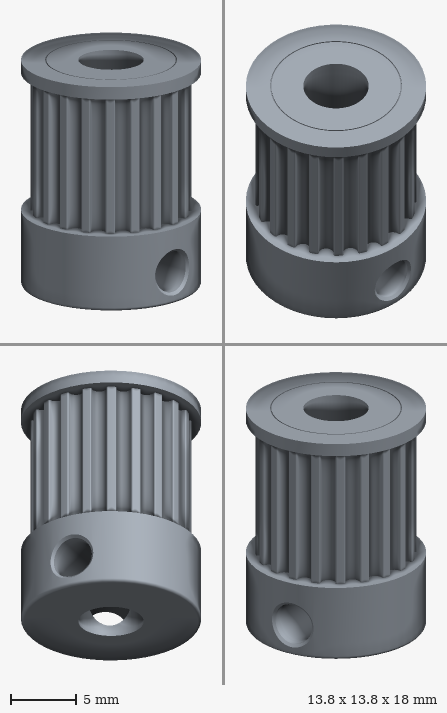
import cadquery as cq
import math

total_height = 18.0
hub_height = 6.0
flange_thickness = 1.0
rim_diameter = 13.8
bore_diameter = 5.0
hub_bottom_fillet = 0.25

tooth_count = 20
tooth_tip_diameter = 12.33
groove_depth = 0.77
groove_radius = 0.58
tooth_tip_fillet = 0.117

ring_inner_diameter = 9.9
ring_outer_diameter = 10.1
ring_depth = 0.09

screw_diameter = 3.24
screw_chamfer = 0.22
screw_height = 2.5
screw_angles = (0, 210)

rim_radius = rim_diameter / 2
tip_radius = tooth_tip_diameter / 2
flange_bottom = total_height - flange_thickness
toothed_length = flange_bottom - hub_height


def make_hub():
    hub = cq.Workplane("XY").circle(rim_radius).extrude(hub_height)
    return hub.faces("<Z").edges().fillet(hub_bottom_fillet)


def make_groove(angle):
    """Round-bottomed groove, parallel to Z, open past the tooth tips."""
    bottom = tip_radius - groove_depth
    wall_start = bottom + groove_radius
    return (
        cq.Workplane("XY", origin=(0, 0, hub_height))
        .moveTo(rim_radius, -groove_radius)
        .lineTo(wall_start, -groove_radius)
        .threePointArc((bottom, 0), (wall_start, groove_radius))
        .lineTo(rim_radius, groove_radius)
        .close()
        .extrude(toothed_length)
        .rotate((0, 0, 0), (0, 0, 1), angle)
    )


def make_toothed_section():
    section = cq.Workplane("XY", origin=(0, 0, hub_height)).circle(tip_radius).extrude(toothed_length)
    for index in range(tooth_count):
        section = section.cut(make_groove(index * 360 / tooth_count))
    mouth_edges = section.edges("|Z").filter(
        lambda edge: math.hypot(edge.Center().x, edge.Center().y) > tip_radius - tooth_tip_fillet / 2
    )
    return mouth_edges.fillet(tooth_tip_fillet)


def make_flange():
    return cq.Workplane("XY", origin=(0, 0, flange_bottom)).circle(rim_radius).extrude(flange_thickness)


def make_ring_groove():
    return (
        cq.Workplane("XY", origin=(0, 0, total_height - ring_depth))
        .circle(ring_outer_diameter / 2)
        .circle(ring_inner_diameter / 2)
        .extrude(ring_depth)
    )


def cut_screw_hole(body, angle):
    """Drill a radial hole from the bore outward and chamfer its mouth on the rim."""
    direction = cq.Vector(math.cos(math.radians(angle)), math.sin(math.radians(angle)), 0)
    axis_plane = cq.Plane(origin=(0, 0, screw_height), xDir=(0, 0, 1), normal=direction)
    hole = cq.Workplane(axis_plane).circle(screw_diameter / 2).extrude(rim_diameter)
    drilled = body.cut(hole)
    mouth_center = direction * rim_radius + cq.Vector(0, 0, screw_height)
    mouth = drilled.edges().filter(lambda edge: (edge.Center() - mouth_center).Length < screw_diameter / 2)
    return mouth.chamfer(screw_chamfer)


pulley = make_hub().union(make_toothed_section()).union(make_flange())
pulley = pulley.cut(cq.Workplane("XY").circle(bore_diameter / 2).extrude(total_height))
pulley = pulley.cut(make_ring_groove())
for screw_angle in screw_angles:
    pulley = cut_screw_hole(pulley, screw_angle)

result = pulley